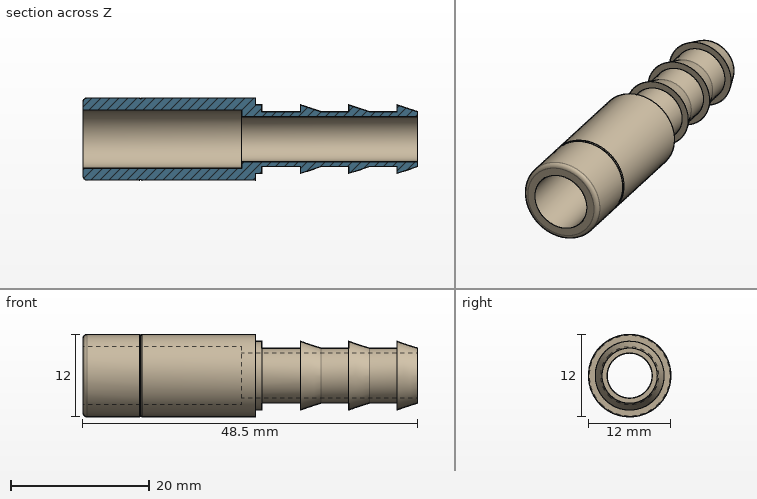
import cadquery as cq

total_length = 48.5
sleeve_length = 25.05
sleeve_radius = 12.0 / 2
mouth_fillet = 0.65

groove_start = 8.2
groove_width = 0.35
groove_depth = 0.15

collar_length = 0.9
barb_radius = 10.0 / 2
collar_radius = barb_radius
stem_radius = 8.0 / 2

barb_count = 3
barb_length = 3.0
barb_pitch = 7.0

bore_radius = 6.5 / 2
socket_radius = 8.4 / 2
socket_depth = 23.0


def cylinder(start, length, radius):
    """Solid cylinder along X."""
    return cq.Workplane("YZ").workplane(offset=start).circle(radius).extrude(length)


def barb(start):
    """Cone with its sharp shoulder at start, tapering down to the stem."""
    return (
        cq.Workplane("XY")
        .moveTo(start, 0)
        .lineTo(start, barb_radius)
        .lineTo(start + barb_length, stem_radius)
        .lineTo(start + barb_length, 0)
        .close()
        .revolve(360, (0, 0, 0), (1, 0, 0))
    )


sleeve = cylinder(0, sleeve_length, sleeve_radius).faces("<X").edges().fillet(mouth_fillet)
groove_ring = (
    cq.Workplane("XY")
    .moveTo(groove_start, sleeve_radius)
    .lineTo(groove_start + groove_width / 2, sleeve_radius - groove_depth)
    .lineTo(groove_start + groove_width, sleeve_radius)
    .close()
    .revolve(360, (0, 0, 0), (1, 0, 0))
)
sleeve = sleeve.cut(groove_ring)

collar = cylinder(sleeve_length, collar_length, collar_radius)
stem = cylinder(sleeve_length, total_length - sleeve_length, stem_radius)
body = sleeve.union(collar).union(stem)
for index in range(barb_count):
    body = body.union(barb(total_length - barb_length - index * barb_pitch))

bore = cylinder(0, total_length, bore_radius)
socket = cylinder(0, socket_depth, socket_radius)
result = body.cut(bore).cut(socket)